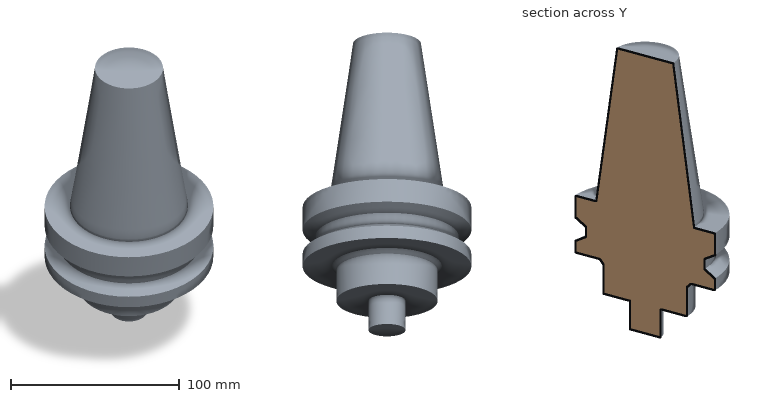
import cadquery as cq

pin_diameter = 22.0
boss_diameter = 60.0
gauge_diameter = 69.8
groove_diameter = 85.0
flange_diameter = 100.0
taper_tip_diameter = 40.3
boss_root_diameter = 65.0

total_length = 179.8
pin_length = 18.3
boss_length = 19.0
boss_root_length = 2.7
lower_rim_height = 7.7
groove_floor_width = 6.5
upper_rim_height = 14.2
collar_height = 1.6
groove_chamfer_height = 4.3

boss_bottom = pin_length
boss_top = boss_bottom + boss_length
flange_bottom = boss_top + boss_root_length
lower_rim_top = flange_bottom + lower_rim_height
groove_bottom = lower_rim_top + groove_chamfer_height
groove_top = groove_bottom + groove_floor_width
upper_rim_bottom = groove_top + groove_chamfer_height
flange_top = upper_rim_bottom + upper_rim_height
taper_bottom = flange_top + collar_height


def revolved_part():
    """Revolve the half profile of the tool holder about the Z axis."""
    pin_radius = pin_diameter / 2
    boss_radius = boss_diameter / 2
    gauge_radius = gauge_diameter / 2
    groove_radius = groove_diameter / 2
    flange_radius = flange_diameter / 2
    profile = [
        (0, 0),
        (pin_radius, 0),
        (pin_radius, boss_bottom),
        (boss_radius, boss_bottom),
        (boss_radius, boss_top),
        (boss_root_diameter / 2, flange_bottom),
        (flange_radius, flange_bottom),
        (flange_radius, lower_rim_top),
        (groove_radius, groove_bottom),
        (groove_radius, groove_top),
        (flange_radius, upper_rim_bottom),
        (flange_radius, flange_top),
        (gauge_radius, flange_top),
        (gauge_radius, taper_bottom),
        (taper_tip_diameter / 2, total_length),
        (0, total_length),
    ]
    return cq.Workplane("XZ").polyline(profile).close().revolve(360, (0, 0), (0, 1))


result = revolved_part()